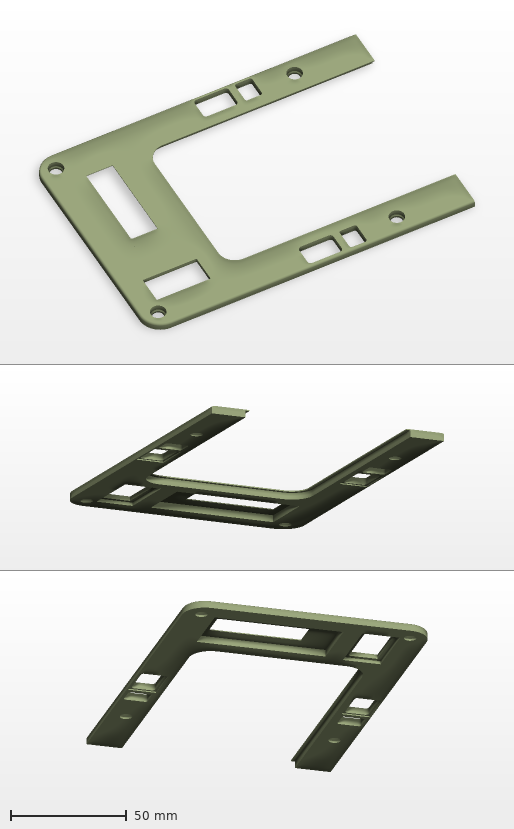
import cadquery as cq
PLATE_WIDTH = 110.0
PLATE_LENGTH = 159.0
PLATE_THICKNESS = 3.5
CORNER_RADIUS = 10.0
TOP_EDGE_RADIUS = 1.0

TRIM_THICKNESS = 0.5
TRIM_WIDTH = 4.75
TRIM_FLOOR = PLATE_THICKNESS - TRIM_THICKNESS

BAY_WIDTH = 74.4
BAY_BOTTOM = 47.0
BAY_RADIUS = 8.0
BAY_TRIM_OVERHANG = 1.8

WINDOW_WIDTH = 41.5
WINDOW_HEIGHT = 13.0
WINDOW_X = -16.35
WINDOW_Y = 24.0
WINDOW_RADIUS = 0.5
DISPLAY_POCKET_WIDTH = 58.0
DISPLAY_POCKET_HEIGHT = 28.0
DISPLAY_POCKET_X = -11.6
DISPLAY_POCKET_Y = 23.5
DISPLAY_LID = 0.4
WINDOW_TRIM_FLOOR = PLATE_THICKNESS - DISPLAY_LID

SWITCH_WIDTH = 13.0
SWITCH_HEIGHT = 26.4
SWITCH_X = 34.2
SWITCH_Y = 23.9
SWITCH_LID = 2.0
SWITCH_POCKET_MARGIN = 2.0

SLOT_X = 48.1
SLOT_WIDTH = 10.6
LONG_SLOT_Y = 87.0
LONG_SLOT_HEIGHT = 16.8
LONG_SLOT_LID = 3.0
SLOT_POCKET_MARGIN = 1.0
SLOTS = [(103.0, 8.4, 1.0), (LONG_SLOT_Y, LONG_SLOT_HEIGHT, 1.5)]

SCREW_X = 47.0
SCREW_YS = [8.0, 125.0]
SCREW_DIAMETER = 5.5
HEAD_DIAMETER = 7.2
HEAD_DEPTH = 2.6


def rounded_block(width, height, x, y, radius, bottom, top):
    """Upright block with rounded vertical edges, centred on (x, y)."""
    block = cq.Workplane("XY", origin=(x, y, bottom)).rect(width, height).extrude(top - bottom)
    if radius > 0:
        block = block.edges("|Z").fillet(radius)
    return block


def bay_block(offset, bottom, top):
    """U-shaped bay grown outwards by offset, running out through the +Y end."""
    low = BAY_BOTTOM - offset
    return (
        cq.Workplane("XY", origin=(0, (low + PLATE_LENGTH) / 2, bottom))
        .rect(BAY_WIDTH + 2 * offset, PLATE_LENGTH - low)
        .extrude(top - bottom)
        .edges("|Z and <Y")
        .fillet(BAY_RADIUS + offset)
    )


def window_block(offset, bottom, top):
    """Display window grown outwards by offset."""
    return rounded_block(
        WINDOW_WIDTH + 2 * offset,
        WINDOW_HEIGHT + 2 * offset,
        WINDOW_X,
        WINDOW_Y,
        WINDOW_RADIUS + offset,
        bottom,
        top,
    )


def square_pocket(width, height, x, y, lid):
    """Sharp-cornered pocket cut from below, leaving a lid under the top face."""
    return rounded_block(width, height, x, y, 0, 0, PLATE_THICKNESS - lid)


def make_plate():
    plate = (
        cq.Workplane("XY", origin=(0, PLATE_LENGTH / 2, 0))
        .rect(PLATE_WIDTH, PLATE_LENGTH)
        .extrude(PLATE_THICKNESS)
        .edges("|Z and <Y")
        .fillet(CORNER_RADIUS)
    )
    plate = plate.faces("<Y").edges(">Z").fillet(TOP_EDGE_RADIUS)

    plate = plate.cut(bay_block(BAY_TRIM_OVERHANG, 0, PLATE_THICKNESS))
    plate = plate.cut(bay_block(TRIM_WIDTH, TRIM_FLOOR, PLATE_THICKNESS))

    plate = plate.cut(window_block(0, 0, PLATE_THICKNESS))
    plate = plate.cut(window_block(TRIM_WIDTH, WINDOW_TRIM_FLOOR, PLATE_THICKNESS))
    plate = plate.cut(
        square_pocket(
            DISPLAY_POCKET_WIDTH,
            DISPLAY_POCKET_HEIGHT,
            DISPLAY_POCKET_X,
            DISPLAY_POCKET_Y,
            DISPLAY_LID,
        )
    )

    plate = plate.cut(
        rounded_block(SWITCH_WIDTH, SWITCH_HEIGHT, SWITCH_X, SWITCH_Y, 0, 0, PLATE_THICKNESS)
    )
    plate = plate.cut(
        square_pocket(
            SWITCH_WIDTH + 2 * SWITCH_POCKET_MARGIN,
            SWITCH_HEIGHT + 2 * SWITCH_POCKET_MARGIN,
            SWITCH_X,
            SWITCH_Y,
            SWITCH_LID,
        )
    )

    for side in (-1, 1):
        for y, height, radius in SLOTS:
            plate = plate.cut(
                rounded_block(SLOT_WIDTH, height, side * SLOT_X, y, radius, 0, PLATE_THICKNESS)
            )
        plate = plate.cut(
            square_pocket(
                SLOT_WIDTH + 2 * SLOT_POCKET_MARGIN,
                LONG_SLOT_HEIGHT + 2 * SLOT_POCKET_MARGIN,
                side * SLOT_X,
                LONG_SLOT_Y,
                LONG_SLOT_LID,
            )
        )

    screw_points = [(side * SCREW_X, y) for side in (-1, 1) for y in SCREW_YS]
    return (
        plate.faces(">Z")
        .workplane(origin=(0, 0, PLATE_THICKNESS))
        .pushPoints(screw_points)
        .cboreHole(SCREW_DIAMETER, HEAD_DIAMETER, HEAD_DEPTH)
    )


def make_bay_trim():
    outer = bay_block(TRIM_WIDTH, TRIM_FLOOR, PLATE_THICKNESS)
    return outer.cut(bay_block(0, TRIM_FLOOR, PLATE_THICKNESS))


def make_window_trim():
    outer = window_block(TRIM_WIDTH, WINDOW_TRIM_FLOOR, PLATE_THICKNESS)
    return outer.cut(window_block(0, WINDOW_TRIM_FLOOR, PLATE_THICKNESS))


plate = make_plate()
bay_trim = make_bay_trim()
window_trim = make_window_trim()

result = cq.Compound.makeCompound([plate.val(), bay_trim.val(), window_trim.val()])